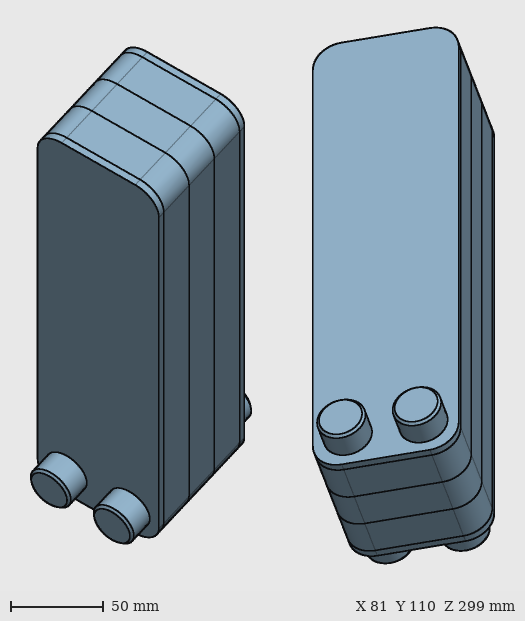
import cadquery as cq

pack_width = 81.0
pack_height = 299.0
corner_radius = 16.0

cover_thickness = 4.5
core_thickness = 23.0
core_count = 3
core_depth = core_count * core_thickness
pack_depth = core_depth + 2 * cover_thickness

port_diameter = 26.9
port_length = 16.0
port_chamfer = 1.5
port_spacing = 42.0
port_height = 19.5


def rounded_layer(front_y, thickness):
    """Rounded rectangular slab, from front_y towards +Y, standing on Z = 0."""
    return (
        cq.Workplane("XY")
        .box(pack_width, thickness, pack_height, centered=(True, False, False))
        .edges("|Y")
        .fillet(corner_radius)
        .translate((0, front_y, 0))
    )


def cover_plate(front_y):
    """Thin end plate closing one side of the pack."""
    return rounded_layer(front_y, cover_thickness)


def core_block(front_y):
    """One of the equal blocks stacked between the covers."""
    return rounded_layer(front_y, core_thickness)


def port(x, outward):
    """Solid stub standing on a cover; outward is -1 for the front, +1 for the back."""
    seat = cq.Plane(
        origin=(x, outward * pack_depth / 2, port_height),
        xDir=(1, 0, 0),
        normal=(0, outward, 0),
    )
    return (
        cq.Workplane(seat)
        .circle(port_diameter / 2)
        .extrude(port_length)
        .faces(">Y" if outward > 0 else "<Y")
        .chamfer(port_chamfer)
    )


covers = [cover_plate(front_y) for front_y in (-pack_depth / 2, core_depth / 2)]
cores = [core_block(-core_depth / 2 + i * core_thickness) for i in range(core_count)]
ports = [
    port(x, outward)
    for outward in (-1, 1)
    for x in (-port_spacing / 2, port_spacing / 2)
]

result = cq.Compound.makeCompound([body.val() for body in covers + cores + ports])